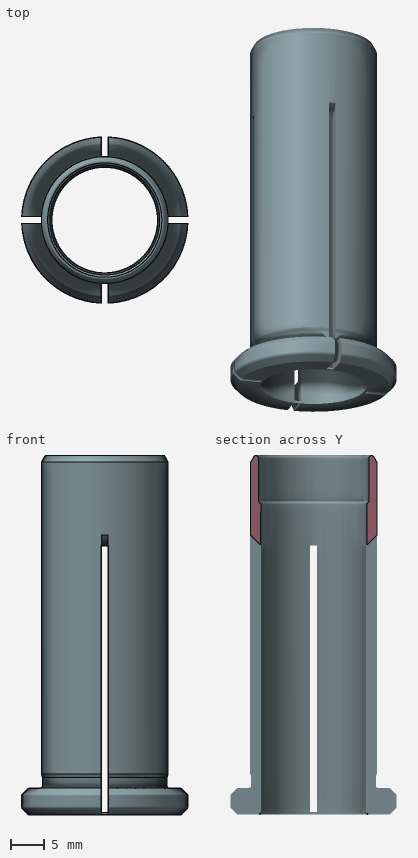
import cadquery as cq

total_height = 54.0
flange_diameter = 25.0
tube_diameter = 19.05
bore_diameter = 15.9
top_bore_diameter = 16.5

flange_height = 4.0
flange_chamfer = 1.0
flange_lower_rounding = 0.5
flange_upper_rounding = 0.2

groove_depth = 0.15
groove_root_fillet = 0.4
groove_taper_start = 5.6
groove_taper_end = 6.1

rim_chamfer_height = 1.0
rim_chamfer_width = 0.6
rim_rounding = 0.2
rim_inner_chamfer = 0.3
top_bore_depth = 6.9

slot_width = 1.0
slot_outer_top = 42.0
slot_bottom_rise = 0.4
slot_count = 4

flange_radius = flange_diameter / 2
tube_radius = tube_diameter / 2
bore_radius = bore_diameter / 2
top_bore_radius = top_bore_diameter / 2
groove_radius = tube_radius - groove_depth


def revolve(profile):
    """Turn a radius-height profile about the bushing axis."""
    return profile.close().revolve(360, (0, 0, 0), (0, 1, 0))


def circle_edges(body, radius, height):
    """Select the circular edges at a height that are no larger than a radius."""
    tolerance = 0.005
    reach = radius + tolerance
    return body.edges(
        cq.selectors.BoxSelector(
            (-reach, -reach, height - tolerance),
            (reach, reach, height + tolerance),
            boundingbox=True,
        )
    )


def make_outer_body():
    """Solid of the flange, groove and tube, with its turned edges rounded."""
    flange_flat_radius = flange_radius - flange_chamfer
    upper_chamfer_start = flange_height - flange_chamfer
    rim_radius = tube_radius - rim_chamfer_width
    body = revolve(
        cq.Workplane("XZ")
        .moveTo(0, 0)
        .lineTo(flange_flat_radius, 0)
        .lineTo(flange_radius, flange_chamfer)
        .lineTo(flange_radius, upper_chamfer_start)
        .lineTo(flange_flat_radius, flange_height)
        .lineTo(groove_radius, flange_height)
        .lineTo(groove_radius, groove_taper_start)
        .lineTo(tube_radius, groove_taper_end)
        .lineTo(tube_radius, total_height - rim_chamfer_height)
        .lineTo(rim_radius, total_height)
        .lineTo(0, total_height)
    )
    body = circle_edges(body, groove_radius, flange_height).fillet(groove_root_fillet)
    body = circle_edges(body, flange_radius, flange_chamfer).fillet(flange_lower_rounding)
    body = circle_edges(body, flange_radius, upper_chamfer_start).fillet(flange_upper_rounding)
    flange_top_edges = circle_edges(body, flange_flat_radius, flange_height)
    body = flange_top_edges.edges(cq.selectors.RadiusNthSelector(-1)).fillet(flange_upper_rounding)
    return circle_edges(body, rim_radius, total_height).fillet(rim_rounding)


def make_bore():
    """Stepped through bore with a 45 degree shoulder and a chamfered mouth."""
    shoulder_top = total_height - top_bore_depth
    shoulder_height = top_bore_radius - bore_radius
    return revolve(
        cq.Workplane("XZ")
        .moveTo(0, 0)
        .lineTo(bore_radius, 0)
        .lineTo(bore_radius, shoulder_top - shoulder_height)
        .lineTo(top_bore_radius, shoulder_top)
        .lineTo(top_bore_radius, total_height - rim_inner_chamfer)
        .lineTo(top_bore_radius + rim_inner_chamfer, total_height)
        .lineTo(0, total_height)
    )


def make_slot():
    """Cutter for the slot on the +X side, leaving a small sloped sill at the bore."""
    return (
        cq.Workplane("XZ")
        .moveTo(bore_radius + slot_bottom_rise, 0)
        .lineTo(flange_diameter, 0)
        .lineTo(flange_diameter, slot_outer_top)
        .lineTo(tube_radius, slot_outer_top)
        .lineTo(0, slot_outer_top - tube_radius)
        .lineTo(0, slot_bottom_rise)
        .lineTo(bore_radius, slot_bottom_rise)
        .close()
        .extrude(slot_width / 2, both=True)
    )


result = make_outer_body().cut(make_bore())
for index in range(slot_count):
    angle = index * 360 / slot_count
    result = result.cut(make_slot().rotate((0, 0, 0), (0, 0, 1), angle))